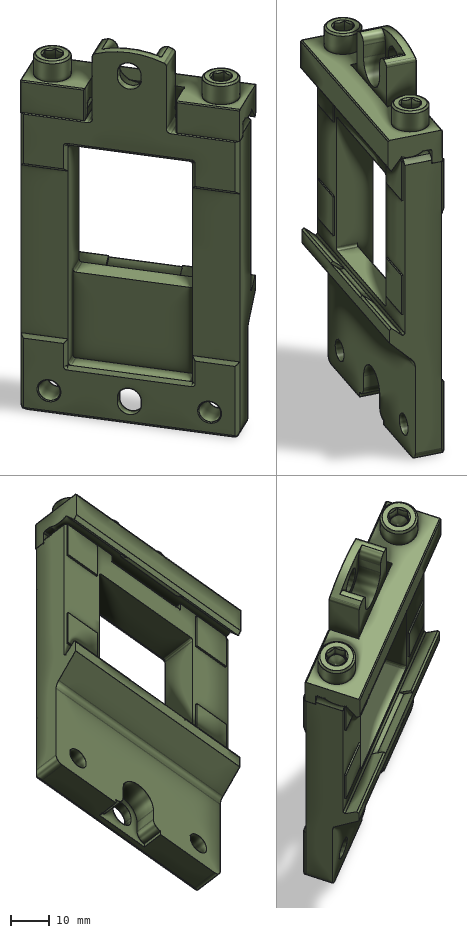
import cadquery as cq
import math


width = 60.0
height = 110.5
depth = 16.2
half_width = width / 2

raise_depth = 1.0
slab_back = 8.5
bar_back = 11.5
panel_front = 5.5
bottom_corner_radius = 2.2

window_half_width = 17.0
window_bottom = 14.8
window_top = 80.1
panel_top = 40.2
window_corner_radius = 0.8
plate_leg = 7.7

shoulder_z = 88.1
block_top = 90.4
block_front = 3.8
gap_half_width = 12.5
block_chamfer = 1.3

tab_width = 20.3
tab_half_width = tab_width / 2
tab_corner_z = 108.5
tab_corner_radius = 1.0
tab_base_radius = 1.2

hole_inset = 7.0
slot_width = 6.5
slot_length = 7.7
recess_width = 11.0
recess_flare = 2.7
recess_floor = 2.3
side_hole_x = 22.0
side_hole_diameter = 6.0
side_hole_mouth = 6.5

hook_back = 15.9
hook_bottom = 36.8
hook_top = 41.1
hook_tip_chamfer = 0.5
groove_z = 38.2
groove_rise = 0.5
hook_blend_radius = 3.3
hook_relief = 1.3

chamfer_angle = 45.0
bend_half_angle = chamfer_angle / 2
diagonal = math.sqrt(0.5)

pad_thickness = 0.4
pad_length = 11.6
pad_bottoms = (44.0, 78.0)
pad_edge_gap = 1.1

clamp_front = 0.8
clamp_top = 97.5
clamp_notch_back = 9.2
clamp_chamfer = 0.3
clamp_hook_side_z = 89.3
jaw_tip_y = 15.4
jaw_root = (12.4, 91.8)
jaw_pad_drop = 0.9
hollow_top = 92.3
hollow_front = 6.3
hollow_sag = (9.2, 91.3)
hollow_chamfer = 0.4
leg_chamfer = 0.3

screw_x = 23.1
screw_y = 7.1
head_diameter = 10.0
head_height = 6.0
head_chamfer = 0.5
shank_diameter = 6.0
shank_length = 20.0
clearance_diameter = 6.5
socket_sides = 6
socket_flats = 5.0
socket_depth = 3.0
socket_mouth_diameter = 6.0
socket_drill_diameter = 4.9
drill_half_angle = 60.0


def box(x0, x1, y0, y1, z0, z1):
    """Box between two opposite corners."""
    return cq.Workplane("XY").box(x1 - x0, y1 - y0, z1 - z0, centered=False).translate((x0, y0, z0))


def front_plane(y):
    """Sketch plane facing the front, at depth y; negative extrusions go to the back."""
    return cq.Workplane("XZ", origin=(0, y, 0))


def across_width(profile, half_length):
    """Extrude a closed Y-Z profile to both sides of the middle."""
    return profile.extrude(half_length, both=True)



def frame_slab():
    """Lower plate, side bars, hook and end blocks, from their common side profile."""
    hook_root_z = hook_bottom - (hook_back - slab_back)
    blend = hook_blend_radius * math.tan(math.radians(bend_half_angle))
    blend_diagonal = blend * diagonal
    profile = (
        cq.Workplane("YZ")
        .moveTo(raise_depth, 0)
        .lineTo(slab_back, 0)
        .lineTo(slab_back, hook_root_z - blend)
        .tangentArcPoint((slab_back + blend_diagonal, hook_root_z + blend_diagonal), relative=False)
        .lineTo(hook_back, hook_bottom)
        .lineTo(hook_back, hook_top - hook_tip_chamfer)
        .lineTo(hook_back - hook_tip_chamfer, hook_top)
        .lineTo(bar_back + groove_rise, groove_z)
        .lineTo(bar_back, groove_z + groove_rise)
        .lineTo(bar_back, block_top)
        .lineTo(block_front, block_top)
        .lineTo(block_front, shoulder_z)
        .lineTo(raise_depth, shoulder_z)
        .close()
    )
    slab = across_width(profile, half_width)
    slab = slab.edges("|Y and >Z").edges("<X or >X").chamfer(block_chamfer)
    gap = box(-gap_half_width, gap_half_width, 0, depth, shoulder_z, block_top)
    return slab.cut(gap)


def raised_plates():
    """U-shaped plates above and below the window, with 45 degree chamfered edges."""
    def plate(end_z, window_z, leg_z):
        outline = [
            (-half_width, end_z),
            (half_width, end_z),
            (half_width, leg_z),
            (window_half_width, leg_z),
            (window_half_width, window_z),
            (-window_half_width, window_z),
            (-window_half_width, leg_z),
            (-half_width, leg_z),
        ]
        return front_plane(raise_depth).polyline(outline).close().extrude(raise_depth, taper=chamfer_angle)

    lower = plate(0, window_bottom, window_bottom + plate_leg)
    upper = plate(block_top, window_top, window_top - plate_leg)
    above_shoulder = box(-half_width, half_width, 0, raise_depth, shoulder_z, block_top)
    return lower.union(upper.cut(above_shoulder))


def tab():
    """Rounded tab on the top, flared at its base and braced to the bars' back by a 45 degree slope."""
    base_x = tab_half_width + tab_base_radius
    base_mid = tab_base_radius * (1 - diagonal)
    outline = (
        front_plane(0)
        .moveTo(-base_x, window_top + raise_depth)
        .lineTo(base_x, window_top + raise_depth)
        .lineTo(base_x, shoulder_z)
        .threePointArc(
            (tab_half_width + base_mid, shoulder_z + base_mid),
            (tab_half_width, shoulder_z + tab_base_radius),
        )
        .lineTo(tab_half_width, tab_corner_z)
        .threePointArc((0, height), (-tab_half_width, tab_corner_z))
        .lineTo(-tab_half_width, shoulder_z + tab_base_radius)
        .threePointArc(
            (-tab_half_width - base_mid, shoulder_z + base_mid),
            (-base_x, shoulder_z),
        )
        .close()
    )
    body = outline.extrude(-slab_back)
    corners = [(side * tab_half_width, slab_back / 2, tab_corner_z) for side in (-1, 1)]
    for corner in corners:
        body = body.edges(cq.selectors.NearestToPointSelector(corner)).fillet(tab_corner_radius)
    step = bar_back - slab_back
    brace = cq.Workplane("YZ").polyline(
        [(slab_back, shoulder_z), (bar_back, shoulder_z), (slab_back, shoulder_z + step)]
    ).close()
    return body.union(across_width(brace, tab_half_width))


def window_cut():
    """Through window above the panel, and the shallower pocket in front of the panel."""
    def opening(bottom, y_front, y_back):
        cutter = box(-window_half_width, window_half_width, y_front, y_back, bottom, window_top)
        return cutter.edges("|Y").fillet(window_corner_radius)

    pocket = opening(window_bottom, raise_depth, panel_front)
    through = opening(panel_top, raise_depth, bar_back)
    return pocket.union(through)


def hook_relief_cut():
    """Sets the groove face back in the middle of the hook."""
    face_low = (bar_back + groove_rise, groove_z)
    face_high = (hook_back - hook_tip_chamfer, hook_top)
    relief = cq.Workplane("YZ").polyline(
        [
            face_low,
            (face_low[0] + hook_relief, face_low[1]),
            (face_high[0] + hook_relief, face_high[1]),
            face_high,
        ]
    ).close()
    return across_width(relief, tab_half_width)


def slot_and_recess():
    """Upper fixing slot with its flared U-shaped recess, open to the top and the back."""
    hole_z = height - hole_inset
    slot = front_plane(0).center(0, hole_z).slot2D(slot_length, slot_width, 90).extrude(-slab_back)

    radius = recess_width / 2
    round_z = hole_z - (slot_length - slot_width) / 2
    mouth_x = radius + recess_flare
    arch_radius = (tab_half_width**2 + (height - tab_corner_z) ** 2) / (2 * (height - tab_corner_z))
    mouth_z = height - arch_radius + math.sqrt(arch_radius**2 - mouth_x**2)
    flare_z = mouth_z - recess_flare
    flare_mid = recess_flare * (1 - diagonal)
    recess = (
        front_plane(recess_floor)
        .moveTo(-radius, round_z)
        .threePointArc((0, round_z - radius), (radius, round_z))
        .lineTo(radius, flare_z)
        .threePointArc((radius + flare_mid, mouth_z - flare_mid), (mouth_x, mouth_z))
        .lineTo(mouth_x, height)
        .lineTo(-mouth_x, height)
        .lineTo(-mouth_x, mouth_z)
        .threePointArc((-radius - flare_mid, mouth_z - flare_mid), (-radius, flare_z))
        .close()
        .extrude(recess_floor - slab_back)
    )
    return slot.union(recess)


def side_hole(x):
    """Through hole near a lower corner, with a small chamfer at the front."""
    mouth_depth = (side_hole_mouth - side_hole_diameter) / 2
    place = front_plane(0).center(x, hole_inset)
    hole = place.circle(side_hole_diameter / 2).extrude(-slab_back)
    mouth = place.circle(side_hole_mouth / 2).workplane(offset=-mouth_depth)
    mouth = mouth.circle(side_hole_diameter / 2).loft(combine=True)
    return hole.union(mouth)


def rounded_outline():
    """Block that rounds the two lower corners of the frame."""
    outline = box(-half_width, half_width, 0, depth, 0, height)
    return outline.edges("|Y and <Z").fillet(bottom_corner_radius)


def pads():
    """Thin pads on the back of both side bars."""
    inner = window_half_width + pad_edge_gap
    outer = half_width - pad_edge_gap
    back = bar_back + pad_thickness
    group = cq.Workplane("XY")
    for bottom in pad_bottoms:
        for start in (inner, -outer):
            group = group.union(
                box(start, start + outer - inner, bar_back, back, bottom, bottom + pad_length)
            )
    return group


def make_frame():
    frame = frame_slab().union(raised_plates()).union(tab())
    frame = frame.intersect(rounded_outline())
    frame = frame.cut(window_cut()).cut(hook_relief_cut())

    upper_slot = slot_and_recess()
    lower_slot = upper_slot.mirror("XY", (0, 0, height / 2))
    frame = frame.cut(upper_slot).cut(lower_slot)

    for side in (-1, 1):
        frame = frame.cut(side_hole(side * side_hole_x))
    frame = frame.union(pads())
    for side in (-1, 1):
        frame = frame.cut(screw_bore(side * screw_x, shank_diameter))
    return frame



def clamp_notch():
    """Notch around the tab, widened by a chamfer at its front corners."""
    half = gap_half_width
    wide = half + clamp_chamfer
    plan = [
        (-wide, clamp_front),
        (wide, clamp_front),
        (half, clamp_front + clamp_chamfer),
        (half, clamp_notch_back),
        (-half, clamp_notch_back),
        (-half, clamp_front + clamp_chamfer),
    ]
    base = cq.Workplane("XY", origin=(0, 0, shoulder_z))
    return base.polyline(plan).close().extrude(clamp_top - shoulder_z)


def make_clamp():
    """Hooked bar across the top, notched around the tab and bored for the screws."""
    profile = (
        cq.Workplane("YZ")
        .moveTo(clamp_front, shoulder_z)
        .lineTo(block_front - leg_chamfer, shoulder_z)
        .lineTo(block_front, shoulder_z + leg_chamfer)
        .lineTo(block_front, hollow_top - hollow_chamfer)
        .lineTo(block_front + hollow_chamfer, hollow_top)
        .lineTo(hollow_front, hollow_top)
        .threePointArc(hollow_sag, jaw_root)
        .lineTo(jaw_tip_y, shoulder_z)
        .lineTo(depth, clamp_hook_side_z)
        .lineTo(depth, clamp_top)
        .lineTo(clamp_front, clamp_top)
        .close()
    )
    clamp = across_width(profile, half_width)
    clamp = clamp.faces(">Z").edges("|X").chamfer(clamp_chamfer)

    jaw_pad = cq.Workplane("YZ").polyline(
        [jaw_root, (jaw_root[0], jaw_root[1] - jaw_pad_drop), (jaw_tip_y, shoulder_z)]
    ).close()
    clamp = clamp.union(across_width(jaw_pad, tab_half_width))
    clamp = clamp.cut(clamp_notch())

    for side in (-1, 1):
        clamp = clamp.cut(screw_bore(side * screw_x, clearance_diameter))
    return clamp



def screw_bore(x, diameter):
    """Cylinder along a screw's axis, from the clamp's top to the shank's end."""
    start = cq.Workplane("XY", origin=(x, screw_y, clamp_top))
    return start.circle(diameter / 2).extrude(-shank_length)


def make_screw(x):
    """Socket-head screw resting on the clamp."""
    seat = cq.Workplane("XY", origin=(x, screw_y, clamp_top))
    head = seat.circle(head_diameter / 2).extrude(head_height)
    head = head.faces(">Z").edges().chamfer(head_chamfer)
    head_top = clamp_top + head_height

    top = cq.Workplane("XY", origin=(x, screw_y, head_top))
    socket = top.polygon(socket_sides, socket_flats, circumscribed=True).extrude(-socket_depth)

    mouth_radius = socket_mouth_diameter / 2
    mouth_depth = mouth_radius - socket_flats / 2
    mouth = cq.Solid.makeCone(
        mouth_radius, socket_flats / 2, mouth_depth, cq.Vector(x, screw_y, head_top), cq.Vector(0, 0, -1)
    )
    drill_radius = socket_drill_diameter / 2
    drill_tip = cq.Solid.makeCone(
        drill_radius,
        0,
        drill_radius / math.tan(math.radians(drill_half_angle)),
        cq.Vector(x, screw_y, head_top - socket_depth),
        cq.Vector(0, 0, -1),
    )
    return head.union(screw_bore(x, shank_diameter)).cut(socket).cut(mouth).cut(drill_tip)


frame = make_frame()
clamp = make_clamp()
screws = [make_screw(side * screw_x) for side in (-1, 1)]

result = cq.Compound.makeCompound([frame.val(), clamp.val(), *[screw.val() for screw in screws]])